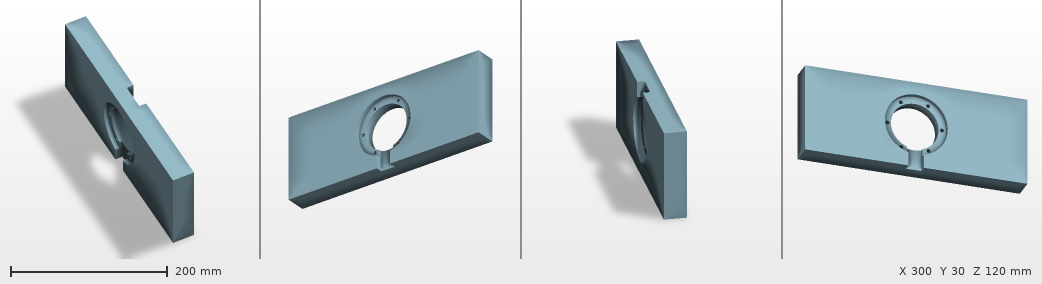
import cadquery as cq

length = 300.0
thickness = 30.0
height = 120.0
front_y = -thickness / 2
back_y = thickness / 2

bore_diameter = 64.2
recess_diameter = 85.0
front_recess_depth = 6.0

hole_count = 6
hole_diameter = 5.5
hole_circle_diameter = 73.5
hole_ring_turn = 0.5

slot_depth = 10.0
front_slot_width = 20.7
back_slot_width = 35.0
back_recess_depth = slot_depth


def cylinder(diameter, y_min, depth):
    """Cylinder along +Y that starts at y_min."""
    return cq.Workplane("XZ", origin=(0, y_min, 0)).circle(diameter / 2).extrude(-depth)


def slot(width, y_min, z_min):
    """Half-height straight slot, slot_depth thick along Y."""
    corner = (-width / 2, y_min, z_min)
    return cq.Workplane("XY").box(width, slot_depth, height / 2, centered=False).translate(corner)


bolt_holes = (
    cq.Workplane("XZ", origin=(0, front_y, 0))
    .polarArray(hole_circle_diameter / 2, hole_ring_turn, 360, hole_count)
    .circle(hole_diameter / 2)
    .extrude(-thickness)
)

result = (
    cq.Workplane("XY")
    .box(length, thickness, height)
    .cut(cylinder(bore_diameter, front_y, thickness))
    .cut(cylinder(recess_diameter, front_y, front_recess_depth))
    .cut(cylinder(recess_diameter, back_y - back_recess_depth, back_recess_depth))
    .cut(bolt_holes)
    .cut(slot(front_slot_width, front_y, -height / 2))
    .cut(slot(back_slot_width, back_y - slot_depth, 0))
)